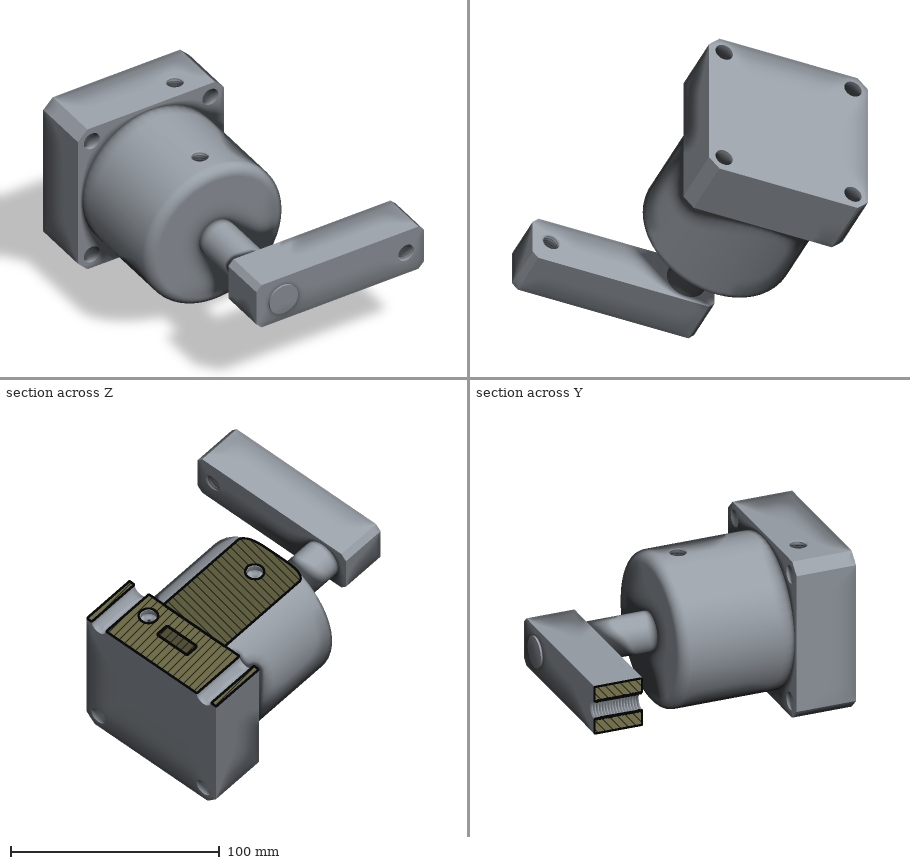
import math

import cadquery as cq


base_length = 31.0
base_width = 83.0
base_chamfer = 5.4
mount_hole_diameter = 9.0
mount_hole_offset = 33.6

barrel_diameter = 78.0
barrel_end = 90.0
barrel_fillet = 5.2

rod_diameter = 20.0
tip_diameter = 16.0
rod_end = 150.0
piston_diameter = 69.9
piston_rear = 15.0
piston_front = 21.9

arm_thickness = 25.0
arm_chamfer = 3.0
arm_front = 149.0
arm_rear = arm_front - arm_thickness
arm_tail = -15.0
arm_nose = 80.0
arm_hole_y = 70.0

thread_major_diameter = 10.0
thread_minor_diameter = 8.4
thread_pitch = 1.5
groove_width = 1.28
radial_overlap = 0.2
start_turn = 0.2
turns_above_mouth = 2
bore_overrun = 6.0

port_floor_z = 30.0
base_port_x = 21.0
base_port_y = 20.0
barrel_port_x = 75.0
passage_diameter = 1.6
passage_floor_z = 27.0
base_port_turns = 6
base_port_phase = 205
barrel_port_turns = 4
barrel_port_phase = 290

arm_hole_turns = math.ceil(arm_thickness / thread_pitch) + 1
arm_hole_phase = 90


def cylinder_along_x(diameter, start, end):
    return cq.Workplane("YZ", origin=(start, 0, 0)).circle(diameter / 2).extrude(end - start)


def chamfered_bar(x_start, length, y_min, y_max, height, chamfer):
    """Bar centred on Z = 0 with its four edges along X chamfered."""
    bar = cq.Workplane("XY").box(length, y_max - y_min, height)
    bar = bar.edges("|X").chamfer(chamfer)
    return bar.translate((x_start + length / 2, (y_min + y_max) / 2, 0))


def thread_cutter(depth, full_turns, mouth_phase):
    """Threaded hole down the -Z axis from a mouth at Z = 0, running on above the mouth.

    The helical groove has full_turns and a bit below the mouth, and crosses it at the angle mouth_phase.
    """
    minor_radius = thread_minor_diameter / 2
    root_radius = minor_radius - radial_overlap
    crest_radius = thread_major_diameter / 2
    half_width = groove_width / 2
    turns_below_mouth = full_turns + start_turn
    bore = (
        cq.Workplane("XY", origin=(0, 0, -depth))
        .circle(minor_radius)
        .extrude(depth + bore_overrun)
    )
    helix = cq.Wire.makeHelix(thread_pitch, (full_turns + turns_above_mouth) * thread_pitch, minor_radius)
    groove = (
        cq.Workplane("XZ")
        .moveTo(root_radius, -half_width)
        .lineTo(crest_radius, 0)
        .lineTo(root_radius, half_width)
        .close()
        .sweep(cq.Workplane(helix), isFrenet=True)
        .translate((0, 0, -turns_below_mouth * thread_pitch))
    )
    return bore.union(groove).rotate((0, 0, 0), (0, 0, 1), mouth_phase - 360 * start_turn)


def make_base():
    base = chamfered_bar(0, base_length, -base_width / 2, base_width / 2, base_width, base_chamfer)
    mount_holes = (
        cq.Workplane("YZ")
        .rect(2 * mount_hole_offset, 2 * mount_hole_offset, forConstruction=True)
        .vertices()
        .circle(mount_hole_diameter / 2)
        .extrude(base_length)
    )
    passage = (
        cq.Workplane("XY", origin=(base_port_x, base_port_y, passage_floor_z))
        .circle(passage_diameter / 2)
        .extrude(port_floor_z - passage_floor_z)
    )
    base = base.cut(mount_holes).cut(passage)
    base = base.cut(cylinder_along_x(piston_diameter, piston_rear, piston_front))
    base = base.cut(cylinder_along_x(rod_diameter, piston_front, base_length))
    mouth_z = base_width / 2
    port = thread_cutter(mouth_z - port_floor_z, base_port_turns, base_port_phase)
    return base.cut(port.translate((base_port_x, base_port_y, mouth_z)))


def make_barrel():
    barrel = cylinder_along_x(barrel_diameter, base_length, barrel_end)
    barrel = barrel.faces(">X").edges().fillet(barrel_fillet)
    barrel = barrel.cut(cylinder_along_x(rod_diameter, base_length, barrel_end))
    mouth_z = barrel_diameter / 2
    port = thread_cutter(mouth_z - port_floor_z, barrel_port_turns, barrel_port_phase)
    return barrel.cut(port.translate((barrel_port_x, 0, mouth_z)))


def make_piston_rod():
    piston = cylinder_along_x(piston_diameter, piston_rear, piston_front)
    rod = cylinder_along_x(rod_diameter, piston_front, arm_rear)
    tip = cylinder_along_x(tip_diameter, arm_rear, rod_end)
    return piston.union(rod).union(tip)


def make_arm():
    arm = chamfered_bar(arm_rear, arm_thickness, arm_tail, arm_nose, arm_thickness, arm_chamfer)
    arm = arm.cut(cylinder_along_x(tip_diameter, arm_rear, arm_front))
    hole = thread_cutter(arm_hole_turns * thread_pitch + bore_overrun, arm_hole_turns, arm_hole_phase)
    hole = hole.rotate((0, 0, 0), (0, 1, 0), -90)
    return arm.cut(hole.translate((arm_rear, arm_hole_y, 0)))


base = make_base()
barrel = make_barrel()
piston_rod = make_piston_rod()
arm = make_arm()

bodies = [base, barrel, piston_rod, arm]
result = cq.Compound.makeCompound([body.solids().val() for body in bodies])